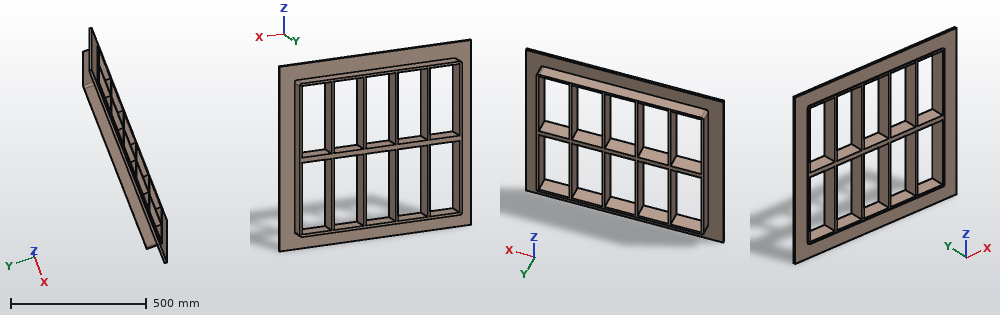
import cadquery as cq

flange_width = 782.5
flange_height = 716.0
flange_thickness = 10.0
side_border = 59.5
end_border = 60.0

body_depth = 60.0
front_lip = 3.0
body_width = flange_width - 2 * side_border
body_height = flange_height - 2 * end_border
corner_radius = 10.0

columns = 5
rows = 2
wall = 10.0
middle_rail = 2 * wall
window_width = (body_width - (columns + 1) * wall) / columns
window_height = (body_height - 2 * wall - (rows - 1) * middle_rail) / rows


def plate(width, height, front, thickness):
    """Upright rectangular plate centred in X and Z, reaching back from Y = front."""
    return cq.Workplane("XY").box(width, thickness, height).translate((0, front + thickness / 2, 0))


flange = plate(flange_width, flange_height, front_lip, flange_thickness)
body = plate(body_width, body_height, 0, body_depth).edges("|Y").fillet(corner_radius)

windows = (
    cq.Workplane("XZ")
    .rarray(window_width + wall, window_height + middle_rail, columns, rows)
    .rect(window_width, window_height)
    .extrude(-body_depth)
)

result = flange.union(body).cut(windows)